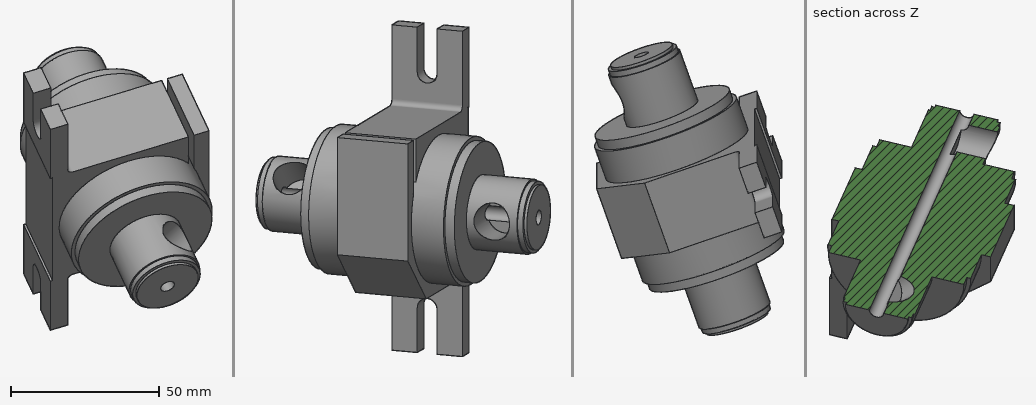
import cadquery as cq
import math

block_width = 25.5
block_half_height = 28.8
block_front = -27.8
block_back = 28.7
corner_y = 11.5
corner_z = -11.9

slit_near = 21.2
slit_far = 23.3

ear_front = -28.5
ear_back = -22.2
ear_tip = 56.4
ear_root_radius = 1.9
slot_width = 7.1
slot_end = 37.4

drum_radius = 25.4
drum_half_length = 24.4
lip_radius = 24.0
lip_half_length = 27.8
shaft_radius = 12.8
shaft_shoulder = 46.0
tip_radius = 12.2
tip_step = 48.0
end_face_radius = 11.1
shaft_half_length = 49.0
bore_radius = 2.5

port_radius = 6.4
port_x = 36.9
left_port_angle = 0
right_port_angle = 45


def extrude_profile(points):
    """Extrude a YZ outline across the block width, centred on X = 0."""
    return cq.Workplane("YZ").polyline(points).close().extrude(block_width / 2, both=True)


def clamp_block():
    block = extrude_profile([
        (block_front, -block_half_height),
        (corner_y, -block_half_height),
        (block_back, corner_z),
        (block_back, block_half_height),
        (block_front, block_half_height),
    ])
    slit = extrude_profile([
        (slit_near, 0),
        (slit_far, 0),
        (slit_far, block_half_height),
        (slit_near, block_half_height),
    ])
    return block.cut(slit)


def upper_ear():
    root_end_y = ear_back + ear_root_radius
    root_end_z = block_half_height + ear_root_radius
    ear_profile = (
        cq.Workplane("YZ")
        .moveTo(ear_front, block_half_height)
        .lineTo(ear_front, ear_tip)
        .lineTo(ear_back, ear_tip)
        .lineTo(ear_back, root_end_z)
        .radiusArc((root_end_y, block_half_height), -ear_root_radius)
        .close()
    )
    ear = ear_profile.extrude(block_width / 2, both=True)
    slot_round_z = slot_end + slot_width / 2
    slot_profile = (
        cq.Workplane("XZ")
        .moveTo(-slot_width / 2, ear_tip)
        .lineTo(-slot_width / 2, slot_round_z)
        .threePointArc((0, slot_end), (slot_width / 2, slot_round_z))
        .lineTo(slot_width / 2, ear_tip)
        .close()
    )
    return ear.cut(slot_profile.extrude(-2 * ear_front, both=True))


def turned_body():
    half = (
        cq.Workplane("XY")
        .polyline([
            (0, 0),
            (0, drum_radius),
            (drum_half_length, drum_radius),
            (drum_half_length, lip_radius),
            (lip_half_length, lip_radius),
            (lip_half_length, shaft_radius),
            (shaft_shoulder, shaft_radius),
            (shaft_shoulder, tip_radius),
            (tip_step, tip_radius),
            (tip_step, end_face_radius),
            (shaft_half_length, end_face_radius),
            (shaft_half_length, 0),
        ])
        .close()
        .revolve(360, (0, 0, 0), (1, 0, 0))
    )
    return half.union(half.mirror("YZ"))


def port(x, angle):
    """Radial hole; the angle is measured from +Y towards +Z."""
    angle_rad = math.radians(angle)
    direction = cq.Vector(0, math.cos(angle_rad), math.sin(angle_rad))
    return cq.Solid.makeCylinder(port_radius, 2 * shaft_radius, cq.Vector(x, 0, 0), direction)


ear = upper_ear()
bore = cq.Workplane("YZ").circle(bore_radius).extrude(shaft_half_length, both=True)

result = (
    clamp_block()
    .union(ear)
    .union(ear.mirror("XY"))
    .union(turned_body())
    .cut(bore)
    .cut(port(-port_x, left_port_angle))
    .cut(port(port_x, right_port_angle))
)